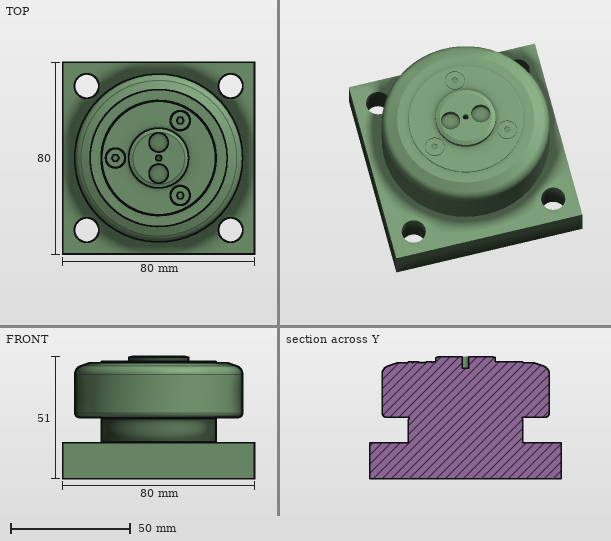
import cadquery as cq
import math

plate_side = 80.0
plate_height = 15.0
mount_hole_diameter = 10.1
mount_hole_spacing = 60.0

core_diameter = 48.0
neck_top = 25.0
neck_edge = 0.3

roller_diameter = 70.0
roller_bottom = 25.5
roller_top = 48.4
lower_edge_radius = 2.0
crown_flat_radius = 28.6
crown_angle = math.radians(19)
crown_edge_radius = 3.8

cover_top = 48.9
cover_edge = 0.3
pin_diameter = 25.0
pin_top = 51.0
pin_chamfer_width = 1.7
pin_chamfer_height = 0.5

spanner_hole_diameter = 8.0
spanner_hole_offset = 6.5
spanner_hole_depth = 2.5
center_hole_diameter = 2.5
center_hole_depth = 4.8

screw_count = 3
screw_circle_radius = 18.0
recess_diameter = 8.3
screw_head_diameter = 7.8
recess_depth = 0.5
socket_corner_diameter = 3.0
socket_depth = 0.5


def make_plate():
    plate = cq.Workplane("XY").box(plate_side, plate_side, plate_height, centered=(True, True, False))
    return (
        plate.faces(">Z").workplane()
        .rect(mount_hole_spacing, mount_hole_spacing, forConstruction=True)
        .vertices().hole(mount_hole_diameter)
    )


def disc(diameter, bottom, top):
    return cq.Workplane("XY").workplane(offset=bottom).circle(diameter / 2).extrude(top - bottom)


def make_roller():
    """Revolve the roller profile; its upper arc is tangent to the side and to the cone."""
    radius = roller_diameter / 2
    arc_center_r = radius - crown_edge_radius
    cone_start_r = arc_center_r + crown_edge_radius * math.sin(crown_angle)
    cone_start_z = roller_top - (cone_start_r - crown_flat_radius) * math.tan(crown_angle)
    arc_center_z = cone_start_z - crown_edge_radius * math.cos(crown_angle)
    mid_angle = (math.pi / 2 - crown_angle) / 2
    arc_mid = (
        arc_center_r + crown_edge_radius * math.cos(mid_angle),
        arc_center_z + crown_edge_radius * math.sin(mid_angle),
    )
    lower_mid = lower_edge_radius * (1 - math.sqrt(0.5))
    return (
        cq.Workplane("XZ")
        .moveTo(0, roller_bottom)
        .lineTo(radius - lower_edge_radius, roller_bottom)
        .threePointArc((radius - lower_mid, roller_bottom + lower_mid),
                       (radius, roller_bottom + lower_edge_radius))
        .lineTo(radius, arc_center_z)
        .threePointArc(arc_mid, (cone_start_r, cone_start_z))
        .lineTo(crown_flat_radius, roller_top)
        .lineTo(0, roller_top)
        .close()
        .revolve(360, (0, 0, 0), (0, 1, 0))
    )


def make_pin():
    pin = disc(pin_diameter, cover_top, pin_top)
    return pin.faces(">Z").chamfer(pin_chamfer_height, pin_chamfer_width)


def cut_pin_holes(body):
    top = cq.Workplane("XY").workplane(offset=pin_top)
    spanner_holes = (
        top.pushPoints([(0, spanner_hole_offset), (0, -spanner_hole_offset)])
        .circle(spanner_hole_diameter / 2).extrude(-spanner_hole_depth)
    )
    center_hole = top.circle(center_hole_diameter / 2).extrude(-center_hole_depth)
    return body.cut(spanner_holes).cut(center_hole)


def cut_screws(body):
    """Cut the clearance ring around each screw head and the hex socket in the head."""
    screws = (
        cq.Workplane("XY").workplane(offset=cover_top)
        .polarArray(screw_circle_radius, 60, 360, screw_count)
    )
    rings = screws.circle(recess_diameter / 2).circle(screw_head_diameter / 2).extrude(-recess_depth)
    sockets = screws.polygon(6, socket_corner_diameter).extrude(-socket_depth)
    return body.cut(rings).cut(sockets)


neck = disc(core_diameter, plate_height, neck_top).faces("<Z").chamfer(neck_edge)
neck_spacer = disc(core_diameter - 2 * neck_edge, neck_top, roller_bottom)
cover = disc(core_diameter, roller_top, cover_top).faces(">Z").chamfer(cover_edge / 2, cover_edge)

body = make_plate().union(neck).union(neck_spacer).union(make_roller()).union(cover).union(make_pin())
result = cut_screws(cut_pin_holes(body))